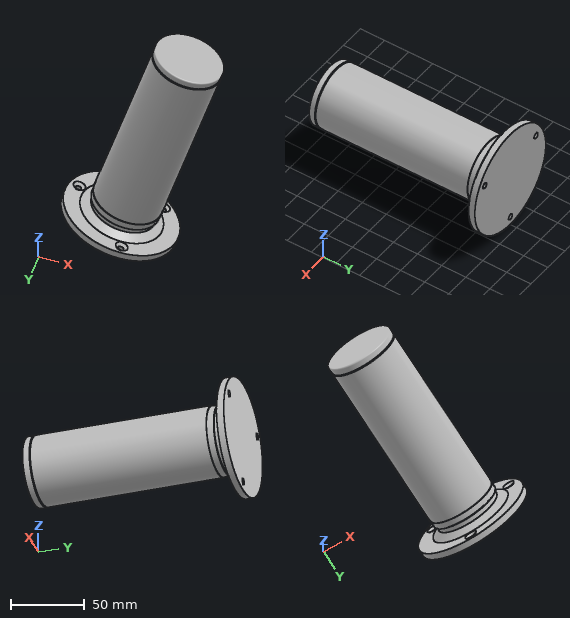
import cadquery as cq

total_length = 150.0
flange_diameter = 84.0
flange_thickness = 5.2

cone_base_diameter = 60.0
cone_height = 3.8

neck_diameter = 46.8
neck_length = 4.0
collar_diameter = 49.4
collar_length = 5.1
tube_diameter = 50.1

cap_length = 5.2
cap_edge_radius = 1.0
groove_width = 0.6
groove_depth = 0.3

hole_count = 3
bolt_circle_radius = 35.0
hole_diameter = 4.4
countersink_diameter = 8.7
countersink_angle = 90
first_hole_angle = -90

cone_end = flange_thickness + cone_height
neck_end = cone_end + neck_length
collar_end = neck_end + collar_length
groove_end = total_length - cap_length
groove_start = groove_end - groove_width


def leg_section(diameter, start, end):
    """Cylinder about the leg axis between two distances from the wall face."""
    return cq.Workplane("XZ", origin=(0, -start, 0)).circle(diameter / 2).extrude(end - start)


def transition_cone():
    """Cone whose wide end sits on the flange, revolved about the leg axis."""
    return (
        cq.Workplane("XY")
        .moveTo(0, -flange_thickness)
        .lineTo(cone_base_diameter / 2, -flange_thickness)
        .lineTo(neck_diameter / 2, -cone_end)
        .lineTo(0, -cone_end)
        .close()
        .revolve(360, (0, 0), (0, 1))
    )


def end_cap():
    """Short cylinder with a rounded free edge."""
    return leg_section(tube_diameter, groove_end, total_length).faces("<Y").edges().fillet(cap_edge_radius)


def add_screw_holes(body):
    """Countersunk through holes in the flange, sunk from its leg side."""
    return (
        body.copyWorkplane(cq.Workplane("XZ", origin=(0, -flange_thickness, 0)))
        .polarArray(bolt_circle_radius, first_hole_angle, 360, hole_count)
        .cskHole(hole_diameter, countersink_diameter, countersink_angle, depth=flange_thickness)
    )


flange = add_screw_holes(leg_section(flange_diameter, 0, flange_thickness))

result = (
    flange
    .union(transition_cone())
    .union(leg_section(neck_diameter, cone_end, neck_end))
    .union(leg_section(collar_diameter, neck_end, collar_end))
    .union(leg_section(tube_diameter, collar_end, groove_start))
    .union(leg_section(tube_diameter - 2 * groove_depth, groove_start, groove_end))
    .union(end_cap())
)